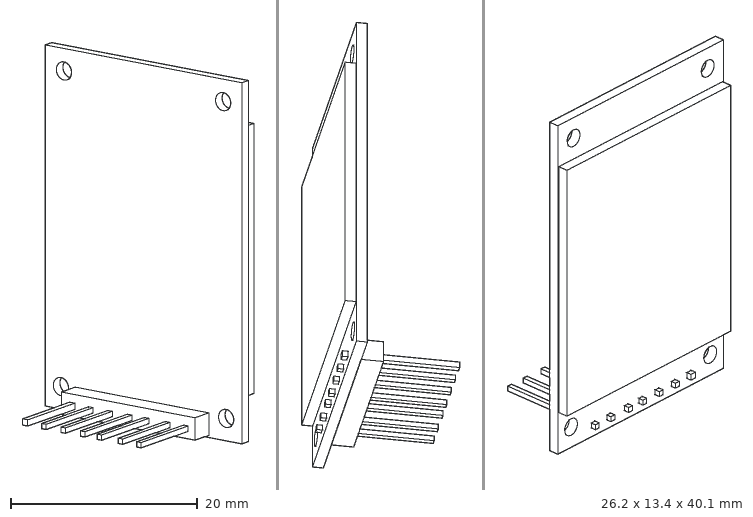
import cadquery as cq

BOARD_WIDTH = 26.2
BOARD_HEIGHT = 40.1
BOARD_THICKNESS = 1.2

HOLE_DIAMETER = 2.0
UPPER_HOLE_SPACING = 21.2
LOWER_HOLE_SPACING = 22.0
HOLE_EDGE_DISTANCE = 2.5

DISPLAY_WIDTH = 25.9
DISPLAY_HEIGHT = 30.0
DISPLAY_THICKNESS = 1.2

HEADER_LENGTH = 17.8
HEADER_HEIGHT = 2.5
HEADER_DEPTH = 2.5
HEADER_CENTER_X = -0.2
HEADER_BOTTOM_GAP = 0.25
PIN_SIZE = 0.6
END_PIN_SIZE = 0.7
PIN_FRONT_LENGTH = 8.5
PIN_BACK_LENGTH = 0.6
END_PIN_X = -7.65
PIN_X_POSITIONS = [-5.15, -2.6, 0.0, 2.25, 5.05, 7.5]
PIN_BOTTOM_GAP = 1.1

BOARD_BOTTOM = -BOARD_HEIGHT / 2
HOLE_Z = BOARD_HEIGHT / 2 - HOLE_EDGE_DISTANCE
HEADER_CENTER_Z = BOARD_BOTTOM + HEADER_BOTTOM_GAP + HEADER_HEIGHT / 2
PIN_BOTTOM_Z = BOARD_BOTTOM + PIN_BOTTOM_GAP
PIN_FRONT_Y = -HEADER_DEPTH - PIN_FRONT_LENGTH
PIN_BACK_Y = BOARD_THICKNESS + PIN_BACK_LENGTH


def block(width, height, front_y, back_y, center_x=0, center_z=0):
    """Upright block spanning front_y to back_y."""
    depth = back_y - front_y
    center = (center_x, (front_y + back_y) / 2, center_z)
    return cq.Workplane("XY").box(width, depth, height).translate(center)


def make_pins():
    """Square pins running from the front tips through the board."""
    pin_layout = [(END_PIN_X, END_PIN_SIZE)] + [(x, PIN_SIZE) for x in PIN_X_POSITIONS]
    pins = []
    for x, size in pin_layout:
        center_z = PIN_BOTTOM_Z + size / 2
        pins.append(block(size, size, PIN_FRONT_Y, PIN_BACK_Y, x, center_z))
    return pins


def make_board(pins):
    """Plate with four mounting holes and a fitting hole for each header pin."""
    board = block(BOARD_WIDTH, BOARD_HEIGHT, 0, BOARD_THICKNESS)
    hole_centers = []
    for side in (-1, 1):
        hole_centers.append((side * UPPER_HOLE_SPACING / 2, HOLE_Z))
        hole_centers.append((side * LOWER_HOLE_SPACING / 2, -HOLE_Z))
    holes = (
        cq.Workplane("XZ")
        .pushPoints(hole_centers)
        .circle(HOLE_DIAMETER / 2)
        .extrude(-BOARD_THICKNESS)
    )
    board = board.cut(holes)
    for pin in pins:
        board = board.cut(pin)
    return board


def make_display():
    """Flat panel against the back of the board."""
    back_y = BOARD_THICKNESS + DISPLAY_THICKNESS
    return block(DISPLAY_WIDTH, DISPLAY_HEIGHT, BOARD_THICKNESS, back_y)


def make_header(pins):
    """Header strip joined with its pins."""
    header = block(HEADER_LENGTH, HEADER_HEIGHT, -HEADER_DEPTH, 0, HEADER_CENTER_X, HEADER_CENTER_Z)
    for pin in pins:
        header = header.union(pin)
    return header


header_pins = make_pins()
board = make_board(header_pins)
display = make_display()
header = make_header(header_pins)

result = cq.Compound.makeCompound([board.val(), display.val(), header.val()])